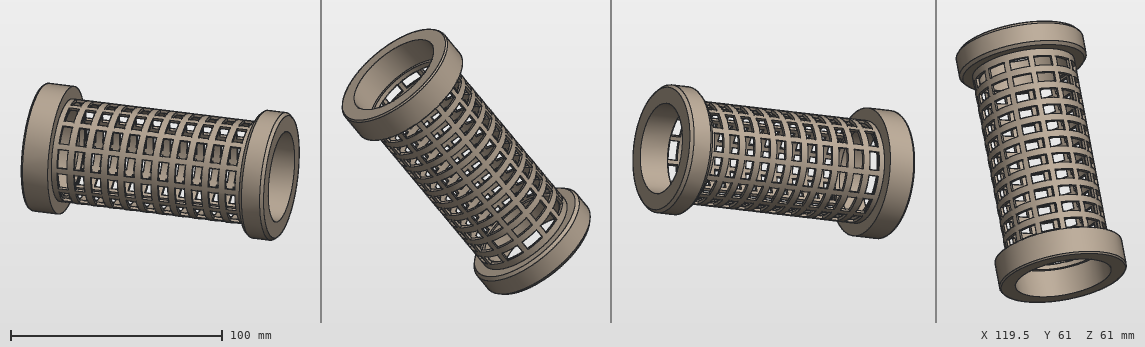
import cadquery as cq

length = 119.5
flange_radius = 61.0 / 2
tube_radius = 49.0 / 2
tube_bore_radius = 46.1 / 2

left_flange_width = 13.3
left_chamfer_length = 0.8
left_chamfer_height = 0.6
counterbore_radius = 46.0 / 2

right_flange_width = 12.1
right_chamfer_length = 1.5
right_chamfer_height = 1.3

lip_radius = 43.0 / 2
lip_width = 2.4

ring_count = 11
grid_start = 16.0
grid_length = 87.8
window_length = 4.9
window_width = 9.0
window_reach = tube_radius + 1.2
ring_pitch = (grid_length - window_length) / (ring_count - 1)
row_count = 13
row_step = 360.0 / row_count
row_offset = -0.2


def flanged_tube():
    """Turned body: half section in the XZ plane, revolved about X."""
    tube_start = left_flange_width
    tube_end = length - right_flange_width
    left_rim = flange_radius - left_chamfer_height
    right_rim = flange_radius - right_chamfer_height
    outside = [
        (0, left_rim),
        (left_chamfer_length, flange_radius),
        (tube_start, flange_radius),
        (tube_start, tube_radius),
        (tube_end, tube_radius),
        (tube_end, right_rim),
        (tube_end + right_chamfer_length, flange_radius),
        (length - right_chamfer_length, flange_radius),
        (length, right_rim),
    ]
    inside = [
        (length, lip_radius),
        (tube_end - lip_width, lip_radius),
        (tube_end - lip_width, tube_bore_radius),
        (tube_start + lip_width, tube_bore_radius),
        (tube_start + lip_width, lip_radius),
        (tube_start, lip_radius),
        (tube_start, counterbore_radius),
        (0, counterbore_radius),
    ]
    section = cq.Workplane("XZ").polyline(outside + inside).close()
    return section.revolve(360, (0, 0, 0), (1, 0, 0))


def window_cutters():
    """Boxes for all the windows, in lengthwise rows spaced evenly around the tube."""
    window = cq.Workplane("XY").box(
        window_length, window_reach, window_width, centered=(False, False, True)
    )
    cutters = []
    for ring in range(ring_count):
        start = grid_start + ring * ring_pitch
        ring_window = window.translate((start, -window_reach, 0))
        for row in range(row_count):
            angle = (row + 0.5) * row_step + row_offset
            cutters.append(ring_window.rotate((0, 0, 0), (1, 0, 0), angle).val())
    return cq.Workplane("XY").add(cq.Compound.makeCompound(cutters))


result = flanged_tube().cut(window_cutters())